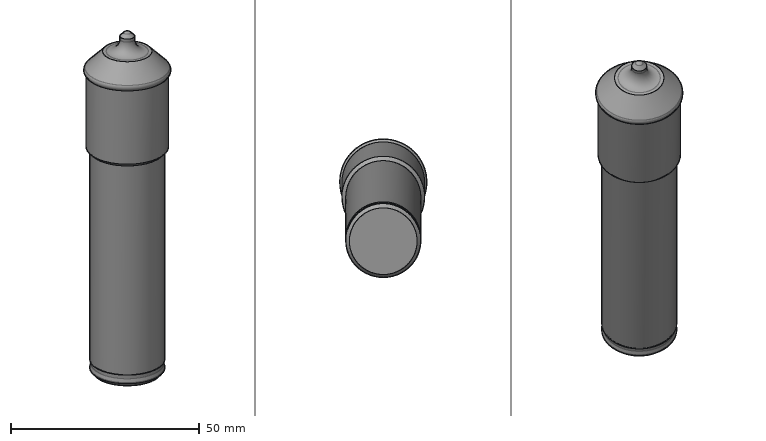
import cadquery as cq
import math

total_height = 100.0
barrel_radius = 10.0
head_radius = 11.0

base_radius = 9.0
rim_bottom_z = 1.1
rim_top_z = 1.4
groove_radius = 9.7
groove_bottom_z = 2.4
groove_top_z = 3.6

shoulder_top_z = 66.1
shoulder_bottom_z = shoulder_top_z - (head_radius - barrel_radius)

lip_outer_radius = 11.6
lip_round = 1.1
lip_z = 88.6
lip_center_radius = lip_outer_radius - lip_round
lip_bottom_z = lip_z - math.sqrt(lip_round**2 - (head_radius - lip_center_radius) ** 2)
cone_angle = math.radians(45)
cone_base_radius = lip_center_radius + lip_round * math.sin(cone_angle)
cone_base_z = lip_z + lip_round * math.cos(cone_angle)

neck_radius = 2.0
tip_radius = 1.0
tip_chamfer_height = neck_radius - tip_radius
tip_dome_height = 0.4
tip_edge_z = total_height - tip_dome_height
flare_top_z = 97.7
flare_radius = 3.6
flare_center_radius = neck_radius + flare_radius
flat_z = flare_top_z - flare_radius
flat_radius = cone_base_radius - (flat_z - cone_base_z) * math.tan(cone_angle)
flare_mid_radius = flare_center_radius - flare_radius * math.cos(math.pi / 4)
flare_mid_z = flare_top_z - flare_radius * math.sin(math.pi / 4)
dome_round = (tip_radius**2 + tip_dome_height**2) / (2 * tip_dome_height)
dome_mid_radius = tip_radius / 2
dome_mid_z = total_height - dome_round + math.sqrt(dome_round**2 - dome_mid_radius**2)

profile = (
    cq.Workplane("XZ")
    .lineTo(base_radius, 0)
    .lineTo(barrel_radius, rim_bottom_z)
    .lineTo(barrel_radius, rim_top_z)
    .lineTo(groove_radius, groove_bottom_z)
    .lineTo(groove_radius, groove_top_z)
    .lineTo(barrel_radius, groove_top_z)
    .lineTo(barrel_radius, shoulder_bottom_z)
    .lineTo(head_radius, shoulder_top_z)
    .lineTo(head_radius, lip_bottom_z)
    .threePointArc((lip_outer_radius, lip_z), (cone_base_radius, cone_base_z))
    .lineTo(flat_radius, flat_z)
    .lineTo(flare_center_radius, flat_z)
    .threePointArc((flare_mid_radius, flare_mid_z), (neck_radius, flare_top_z))
    .lineTo(neck_radius, tip_edge_z - tip_chamfer_height)
    .lineTo(tip_radius, tip_edge_z)
    .threePointArc((dome_mid_radius, dome_mid_z), (0, total_height))
    .close()
)

result = profile.revolve(360, (0, 0, 0), (0, 1, 0))